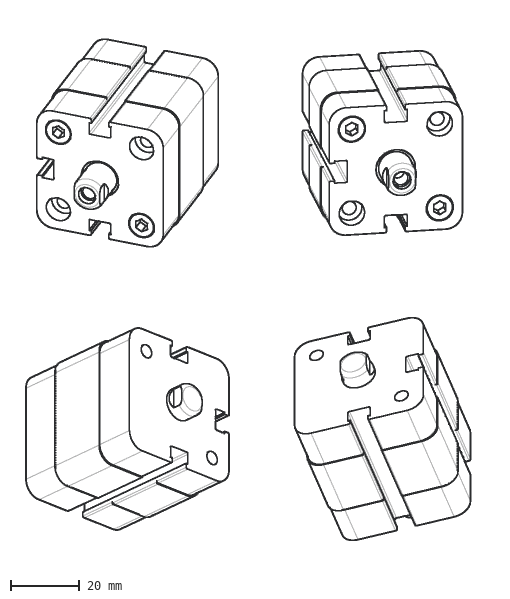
import cadquery as cq
import math


tube_width = 40.1
cap_width = 39.5
corner_radius = 5.0
tube_length = 19.0
cap_length = 12.75
body_length = tube_length + 2 * cap_length
front_y = -body_length / 2

slot_mouth_width = 5.5
slot_inner_width = 6.8
slot_floor_distance = 14.4
slot_lip_distance = 18.1
slot_mouth_radius = 0.5
slot_floor_radius = 0.5

hole_offset = 13.0
through_diameter = 4.1
counterbore_diameter = 7.5
counterbore_depth = 4.5
screw_seat_diameter = 8.0
screw_head_diameter = 7.5
screw_seat_depth = 4.5
hex_across_flats = 3.55
hex_depth = 3.5

rod_diameter = 10.0
rod_overall_length = 60.5
rod_rear_length = 5.5
rod_front_length = rod_overall_length - body_length - rod_rear_length
rod_end_diameter = 7.5
rod_end_radius = (rod_diameter - rod_end_diameter) / 2
flat_width = 8.0
flat_length = 3.5
flat_cut_margin = 0.6
rod_gap_diameter = 11.6
rod_gap_depth = 0.7
rod_front_y = front_y - rod_front_length

mouth_diameter = 5.25
thread_diameter = 4.1
mouth_depth = 2.0
thread_depth = 8.0
drill_tip_angle = 118


def cylinder(diameter, start_y, length, x=0, z=0):
    """Cylinder along +Y, starting at start_y."""
    return cq.Workplane(cq.Solid.makeCylinder(
        diameter / 2, length, cq.Vector(x, start_y, z), cq.Vector(0, 1, 0)))


def box(width, length, height, start_y):
    """Box centred on the cylinder axis in X and Z, starting at start_y."""
    block = cq.Workplane("XY").box(width, length, height, centered=(True, False, True))
    return block.translate((0, start_y, 0))


def slot(body_width, start_y, length):
    """T-slot in the +Z side, with rounded mouth edges and rounded floor corners."""
    top = body_width / 2
    inner_height = slot_lip_distance - slot_floor_distance
    inner = (
        box(slot_inner_width, length, inner_height, start_y)
        .translate((0, 0, slot_floor_distance + inner_height / 2))
        .edges("|Y and <Z").fillet(slot_floor_radius)
    )
    half_mouth = slot_mouth_width / 2
    half_flare = half_mouth + slot_mouth_radius
    bend = slot_mouth_radius * (1 - math.sqrt(0.5))
    mouth = (
        cq.Workplane("XZ", origin=(0, start_y, 0))
        .moveTo(-half_mouth, slot_lip_distance)
        .lineTo(half_mouth, slot_lip_distance)
        .lineTo(half_mouth, top - slot_mouth_radius)
        .threePointArc((half_mouth + bend, top - bend), (half_flare, top))
        .lineTo(-half_flare, top)
        .threePointArc((-half_mouth - bend, top - bend), (-half_mouth, top - slot_mouth_radius))
        .close()
        .extrude(-length)
    )
    return inner.union(mouth)


def body_section(width, start_y, length):
    """Rounded square length of body with slots on the +Z, -X and -Z sides."""
    section = box(width, length, width, start_y).edges("|Y").fillet(corner_radius)
    for angle in (0, -90, 180):
        section = section.cut(slot(width, start_y, length).rotate((0, 0, 0), (0, 1, 0), angle))
    return section


def cap_screw(x, z):
    """Socket head flush with the front face."""
    head = cylinder(screw_head_diameter, front_y, screw_seat_depth, x, z)
    socket = (
        cq.Workplane("XZ", origin=(x, front_y, z))
        .polygon(6, hex_across_flats, circumscribed=True)
        .extrude(-hex_depth)
    )
    return head.cut(socket)


def rod_flats(end_y, direction):
    """Two wrench flats with 45 degree shoulders; direction points from the end into the rod."""
    half_flat = flat_width / 2
    outer = rod_diameter / 2 + flat_cut_margin
    shoulder_y = end_y + direction * flat_length
    shoulder_end_y = shoulder_y + direction * (outer - half_flat)
    flat = (
        cq.Workplane("XY")
        .polyline([
            (half_flat, end_y),
            (half_flat, shoulder_y),
            (outer, shoulder_end_y),
            (outer, end_y),
        ])
        .close()
        .extrude(rod_diameter / 2, both=True)
    )
    return flat.union(flat.mirror("YZ"))


def rod_hole():
    """Stepped blind hole with a conical bottom."""
    mouth_y = rod_front_y + mouth_depth
    thread_y = rod_front_y + thread_depth
    tip_y = thread_y + thread_diameter / 2 / math.tan(math.radians(drill_tip_angle / 2))
    return (
        cq.Workplane("XY")
        .polyline([
            (0, rod_front_y),
            (mouth_diameter / 2, rod_front_y),
            (mouth_diameter / 2, mouth_y),
            (thread_diameter / 2, mouth_y),
            (thread_diameter / 2, thread_y),
            (0, tip_y),
        ])
        .close()
        .revolve(360, (0, 0, 0), (0, 1, 0))
    )


body = (
    body_section(cap_width, front_y, cap_length)
    .union(body_section(tube_width, front_y + cap_length, tube_length))
    .union(body_section(cap_width, front_y + cap_length + tube_length, cap_length))
)

for side in (1, -1):
    x = side * hole_offset
    z = x
    body = body.cut(cylinder(through_diameter, front_y, body_length, x, z))
    body = body.cut(cylinder(counterbore_diameter, front_y, counterbore_depth, x, z))

for side in (1, -1):
    x = side * hole_offset
    z = -x
    body = body.cut(cylinder(screw_seat_diameter, front_y, screw_seat_depth, x, z))
    body = body.union(cap_screw(x, z))

body = body.cut(cylinder(rod_gap_diameter, front_y, rod_gap_depth))
rod = cylinder(rod_diameter, rod_front_y, rod_overall_length)
rod = rod.faces("<Y or >Y").edges().fillet(rod_end_radius)
rod = rod.cut(rod_flats(rod_front_y, 1))
rod = rod.cut(rod_flats(rod_front_y + rod_overall_length, -1))
rod = rod.cut(rod_hole())

result = body.union(rod)